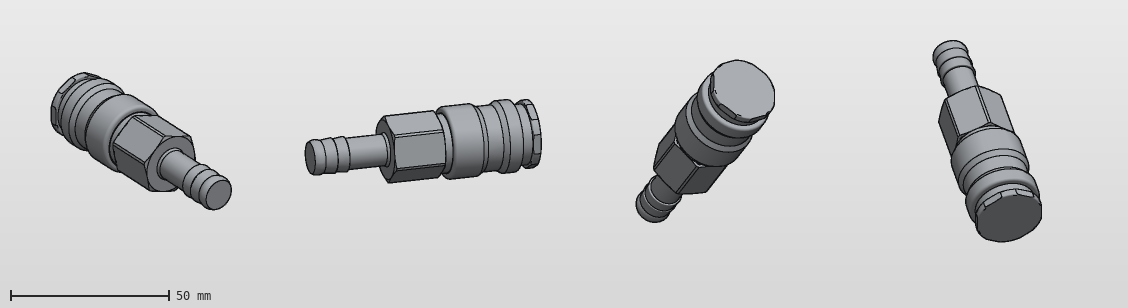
import cadquery as cq
import math


HALF_SIDE_ANGLE = math.radians(30)

flange_end = 2.6
sleeve_start = 6.0
sleeve_end = 29.15
hex_start = 31.6
hex_end = 48.6
total_length = 73.6

flange_across_flats = 21.0
flange_corner_diameter = 21.9
flange_turn = 30
flange_fillet = 0.45

front_neck_diameter = 19.4
rear_neck_diameter = 18.9

hex_across_flats = 19.0
hex_turn = 41.4
hex_corner_chamfer = 0.5
hex_front_face_diameter = 19.65
hex_front_chamfer_length = 0.3
hex_rear_face_diameter = 19.0
hex_rear_chamfer_length = 0.45

tail_diameter = 10.1
tail_root_diameter = 11.0
tail_root_length = 0.95
barb_diameter = 11.4
barb_foot_diameter = 10.5
barb_fillet = 0.2
barb_starts = (62.1, 66.1)
barb_ends = (65.65, 70.1)
bead_crest = 71.7

sleeve_diameter = 23.2
sleeve_front_fillet = 0.9
sleeve_rear_fillet = 1.1
waist_diameter = 21.0
waist_front_slope = (10.7, 12.5)
waist_rear_slope = (17.6, 19.4)


def revolve_about_x(profile):
    """Revolve a closed profile drawn as (x, radius) into a solid about the X axis."""
    return profile.close().revolve(360, (0, 0, 0), (1, 0, 0))


def cylinder_along_x(start, end, diameter):
    return cq.Workplane("YZ").workplane(offset=start).circle(diameter / 2).extrude(end - start)


def hexagon_along_x(start, end, across_flats, turn):
    """Hexagonal prism with one corner turned by the given angle from +Y toward +Z."""
    across_corners = across_flats / math.cos(HALF_SIDE_ANGLE)
    prism = cq.Workplane("YZ").workplane(offset=start).polygon(6, across_corners).extrude(end - start)
    return prism.rotate((0, 0, 0), (1, 0, 0), turn)


def make_flange():
    turned_disc = cylinder_along_x(0, flange_end, flange_corner_diameter)
    turned_disc = turned_disc.edges("%CIRCLE").fillet(flange_fillet)
    return hexagon_along_x(0, flange_end, flange_across_flats, flange_turn).intersect(turned_disc)


def make_wrench_hexagon():
    prism = hexagon_along_x(hex_start, hex_end, hex_across_flats, hex_turn)
    prism = prism.edges("|X").chamfer(hex_corner_chamfer)
    half_flat = hex_across_flats / 2 * math.tan(HALF_SIDE_ANGLE) - hex_corner_chamfer
    corner_radius = math.hypot(hex_across_flats / 2, half_flat)
    envelope = revolve_about_x(
        cq.Workplane("XY")
        .moveTo(hex_start, 0)
        .lineTo(hex_start, hex_front_face_diameter / 2)
        .lineTo(hex_start + hex_front_chamfer_length, corner_radius)
        .lineTo(hex_end - hex_rear_chamfer_length, corner_radius)
        .lineTo(hex_end, hex_rear_face_diameter / 2)
        .lineTo(hex_end, 0)
    )
    return prism.intersect(envelope)


def make_hose_tail():
    profile = (
        cq.Workplane("XY")
        .moveTo(hex_end, 0)
        .lineTo(hex_end, tail_root_diameter / 2)
        .lineTo(hex_end + tail_root_length, tail_diameter / 2)
        .lineTo(barb_starts[0], tail_diameter / 2)
    )
    foot_radius = barb_foot_diameter / 2
    barb_radius = barb_diameter / 2
    for start, end in zip(barb_starts, barb_ends):
        profile = (
            profile.lineTo(start, foot_radius)
            .lineTo(start, barb_radius - barb_fillet)
            .radiusArc((start + barb_fillet, barb_radius), barb_fillet)
            .lineTo(end, foot_radius)
        )
    profile = profile.threePointArc(
        (bead_crest, barb_diameter / 2), (total_length, tail_diameter / 2)
    ).lineTo(total_length, 0)
    return revolve_about_x(profile)


def make_core():
    front_neck = cylinder_along_x(flange_end, sleeve_end, front_neck_diameter)
    rear_neck = cylinder_along_x(sleeve_end, hex_start, rear_neck_diameter)
    return (
        make_flange()
        .union(front_neck)
        .union(rear_neck)
        .union(make_wrench_hexagon())
        .union(make_hose_tail())
    )


def make_sleeve():
    """Grip sleeve with a waist, fitted closely on the front neck."""
    outer_radius = sleeve_diameter / 2
    waist_radius = waist_diameter / 2
    bore_radius = front_neck_diameter / 2
    body = revolve_about_x(
        cq.Workplane("XY")
        .moveTo(sleeve_start, bore_radius)
        .lineTo(sleeve_start, outer_radius)
        .lineTo(waist_front_slope[0], outer_radius)
        .lineTo(waist_front_slope[1], waist_radius)
        .lineTo(waist_rear_slope[0], waist_radius)
        .lineTo(waist_rear_slope[1], outer_radius)
        .lineTo(sleeve_end, outer_radius)
        .lineTo(sleeve_end, bore_radius)
    )
    outer_edge = cq.selectors.RadiusNthSelector(-1)
    body = body.faces("<X").edges(outer_edge).fillet(sleeve_front_fillet)
    return body.faces(">X").edges(outer_edge).fillet(sleeve_rear_fillet)


core = make_core()
sleeve = make_sleeve()

result = cq.Compound.makeCompound([core.val(), sleeve.val()])